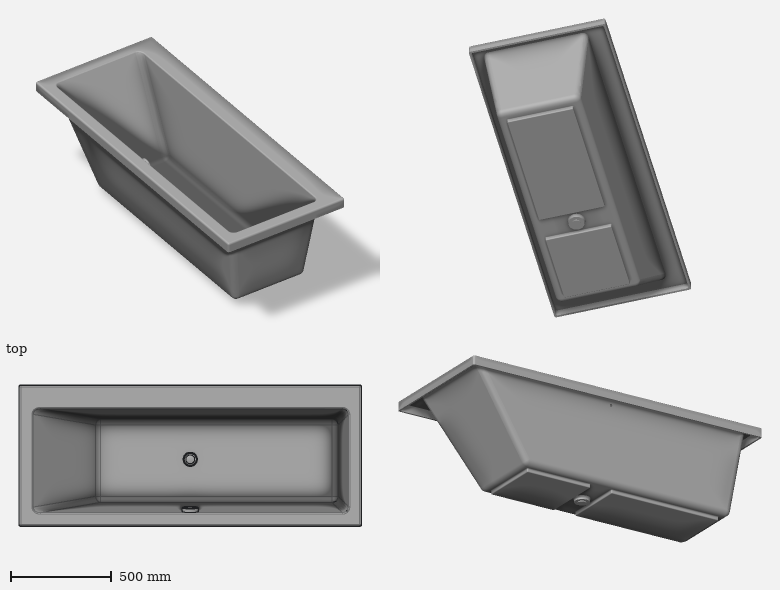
import cadquery as cq
import math


rim_length = 1700
rim_width = 700
rim_depth = 52
rim_radius = 10
shell = 10

basin_y = -25
basin_bottom = -460
basin_radius = 30
lip_radius = 7
inner_left = -781
inner_right = 785
inner_half_width = 258.5
inner_bottom = basin_bottom + shell
side_draft = math.radians(7)
foot_draft = math.radians(7)
back_draft = math.radians(35.5)

board_bottom = -480
board_width = 337
board_left = -433
board_right = 692
board_gap = 125
board_corner_radius = 5
board_edge_radius = 4

waste_y = -18
waste_flange_diameter = 70
waste_flange_height = 3
waste_tail_diameter = 44
waste_seal_diameter = 88
waste_nut_diameter = 80
waste_nut_top = -470
waste_nut_bottom = -480
waste_bottom = -484.7
plug_diameter = 60
plug_seat_depth = 2
plug_rise = 5

overflow_z = -54
overflow_cap_diameter = 80
overflow_cap_thickness = 21
overflow_cap_chamfer = 3
overflow_stem_diameter = 25
overflow_bore_diameter = 15


def tapered_block(left, right, half_width, bottom, top):
    """Tapered basin shape with rounded edges; left, right and half_width apply at Z = 0."""

    def section(z):
        x_left = left - z * math.tan(back_draft)
        x_right = right + z * math.tan(foot_draft)
        half = half_width + z * math.tan(side_draft)
        corners = [
            cq.Vector(x_left, basin_y - half, z),
            cq.Vector(x_right, basin_y - half, z),
            cq.Vector(x_right, basin_y + half, z),
            cq.Vector(x_left, basin_y + half, z),
        ]
        return cq.Wire.makePolygon(corners, close=True)

    block = cq.Workplane(cq.Solid.makeLoft([section(bottom), section(top)], True))
    return block.edges("not >Z").fillet(basin_radius)


def rounded_block(length, width, bottom, top, radius):
    """Upright rectangular block with rounded vertical corners."""
    block = cq.Workplane().workplane(offset=bottom).rect(length, width).extrude(top - bottom)
    return block.edges("|Z").fillet(radius)


def edges_in_box(x_range, y_range, z):
    """Selector for the level edges at height z whose centres lie inside the ranges."""
    return cq.selectors.BoxSelector(
        (x_range[0], y_range[0], z - 1),
        (x_range[1], y_range[1], z + 1),
    )


def wall_offset(draft):
    """Level distance between the inner and outer faces of a leaning wall."""
    return shell / math.cos(draft)


def make_rim():
    rim = rounded_block(rim_length, rim_width, -rim_depth, 0, rim_radius)
    rim = rim.faces(">Z").edges().fillet(rim_radius)
    underside = rounded_block(
        rim_length - 2 * shell, rim_width - 2 * shell, -rim_depth, -shell, rim_radius
    )
    return rim.cut(underside)


def make_basin_outside():
    return tapered_block(
        inner_left - wall_offset(back_draft),
        inner_right + wall_offset(foot_draft),
        inner_half_width + wall_offset(side_draft),
        basin_bottom,
        -shell / 2,
    )


def make_basin_inside():
    return tapered_block(inner_left, inner_right, inner_half_width, inner_bottom, 0)


def make_board(left, right):
    board = rounded_block(right - left, board_width, board_bottom, basin_bottom, board_corner_radius)
    board = board.faces("<Z").edges().fillet(board_edge_radius)
    return board.translate(((left + right) / 2, basin_y, 0))


def waste_cylinder(diameter, bottom, top):
    """Upright cylinder on the axis of the waste."""
    base = cq.Workplane().workplane(offset=bottom).center(0, waste_y)
    return base.circle(diameter / 2).extrude(top - bottom)


def overflow_cylinder(diameter, start, end):
    """Cylinder square to the front wall, between two heights above the inner face of the wall."""
    wall_y = basin_y - inner_half_width - overflow_z * math.tan(side_draft)
    wall_normal = cq.Vector(0, math.cos(side_draft), math.sin(side_draft))
    plane = cq.Plane(origin=(0, wall_y, overflow_z), xDir=(1, 0, 0), normal=wall_normal)
    return cq.Workplane(plane).workplane(offset=start).circle(diameter / 2).extrude(end - start)


def make_tub():
    tub = make_rim().union(make_basin_outside()).cut(make_basin_inside())

    half_length = rim_length / 2 - 2 * rim_radius
    half_width = rim_width / 2 - 2 * rim_radius
    lip = edges_in_box((-half_length, half_length), (-half_width, half_width), 0)
    tub = tub.edges(lip).fillet(lip_radius)

    for left, right in ((board_left, -board_gap / 2), (board_gap / 2, board_right)):
        tub = tub.union(make_board(left, right))
    half_board = board_width / 2 + board_edge_radius
    board_outlines = edges_in_box(
        (board_left - board_edge_radius, board_right + board_edge_radius),
        (basin_y - half_board, basin_y + half_board),
        basin_bottom,
    )
    tub = tub.edges(board_outlines).fillet(board_edge_radius)

    tub = tub.cut(waste_cylinder(waste_tail_diameter, basin_bottom, inner_bottom))
    return tub.cut(overflow_cylinder(overflow_stem_diameter, -shell, 0))


def make_waste():
    flange_top = inner_bottom + waste_flange_height
    flange = waste_cylinder(waste_flange_diameter, inner_bottom, flange_top)
    tail = waste_cylinder(waste_tail_diameter, waste_bottom, inner_bottom)
    nut = waste_cylinder(waste_nut_diameter, waste_nut_bottom, waste_nut_top)

    seal = (
        cq.Workplane()
        .workplane(offset=basin_bottom)
        .center(0, waste_y)
        .circle(waste_seal_diameter / 2)
        .workplane(offset=waste_nut_top - basin_bottom)
        .circle(waste_nut_diameter / 2)
        .loft()
    )
    seat = waste_cylinder(plug_diameter, flange_top - plug_seat_depth, flange_top)
    return flange.union(tail).union(seal).union(nut).cut(seat)


def make_plug():
    radius = plug_diameter / 2
    dome_radius = (radius**2 + plug_rise**2) / (2 * plug_rise)
    flange_top = inner_bottom + waste_flange_height
    return (
        cq.Workplane("XZ", origin=(0, waste_y, flange_top))
        .moveTo(0, -plug_seat_depth)
        .lineTo(radius, -plug_seat_depth)
        .lineTo(radius, 0)
        .radiusArc((0, plug_rise), -dome_radius)
        .close()
        .revolve(360, (0, 0, 0), (0, 1, 0))
    )


def make_overflow():
    cap = overflow_cylinder(overflow_cap_diameter, 0, overflow_cap_thickness)
    cap = cap.faces(">Y").edges().chamfer(overflow_cap_chamfer)
    stem = overflow_cylinder(overflow_stem_diameter, -shell, 0)
    bore = overflow_cylinder(overflow_bore_diameter, -shell, 0)
    return cap.union(stem).cut(bore)


tub = make_tub()
waste = make_waste()
plug = make_plug()
overflow = make_overflow()

result = cq.Compound.makeCompound([body.solids().val() for body in (tub, waste, plug, overflow)])